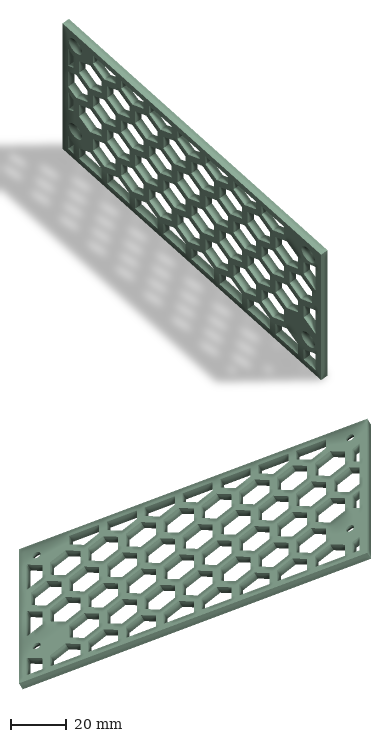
import cadquery as cq
import math

length = 138.6
height = 75.1
thickness = 3.0
border = 3.0

hex_sides = 6
hex_radius = 6.9
web = 3.0
column_pitch = hex_radius * math.sqrt(3) + web
row_pitch = column_pitch * math.sqrt(3) / 2
first_x = -0.21
first_z = 5.7
row_count = 6
column_count = 10
solid_end_rows = (1, 5)

hole_diameter = 3.2
sink_diameter = 7.2
sink_angle = 90.0
hole_inset = 6.9
lower_hole_z = 17.3


def front_plane():
    """Sketch plane of the front face; negative extrusions go into the plate."""
    return cq.Workplane("XZ")


def hexagon_centres():
    """Centres of all hexagons; every second row is shifted by half a pitch."""
    centres = []
    for row in range(row_count):
        is_shifted = row % 2 == 1
        shift = column_pitch / 2 if is_shifted else 0
        columns = column_count - 1 if is_shifted else column_count
        for column in range(columns):
            is_end = column in (0, columns - 1)
            if is_end and row in solid_end_rows:
                continue
            x = first_x + shift + column * column_pitch
            z = first_z + row * row_pitch
            centres.append((x, z))
    return centres


def hexagon_prism(x, z):
    corner_angles = [2 * math.pi * i / hex_sides for i in range(hex_sides)]
    corners = [
        (x + hex_radius * math.sin(angle), z + hex_radius * math.cos(angle))
        for angle in corner_angles
    ]
    return front_plane().polyline(corners).close().extrude(-thickness).val()


def honeycomb_cutter():
    """Hexagonal prisms trimmed to the inside of the frame."""
    window = (
        front_plane()
        .center(length / 2, height / 2)
        .rect(length - 2 * border, height - 2 * border)
        .extrude(-thickness)
    )
    prisms = cq.Compound.makeCompound([hexagon_prism(x, z) for x, z in hexagon_centres()])
    return window.intersect(cq.Workplane(prisms))


def add_screw_holes(body):
    """Through holes, countersunk from the front face."""
    centres = [
        (x, z)
        for x in (hole_inset, length - hole_inset)
        for z in (lower_hole_z, height - hole_inset)
    ]
    return (
        body.faces("<Y")
        .workplane(origin=(0, 0, 0))
        .pushPoints(centres)
        .cskHole(hole_diameter, sink_diameter, sink_angle)
    )


plate = front_plane().rect(length, height, centered=False).extrude(-thickness)
grille = plate.cut(honeycomb_cutter())
result = add_screw_holes(grille)